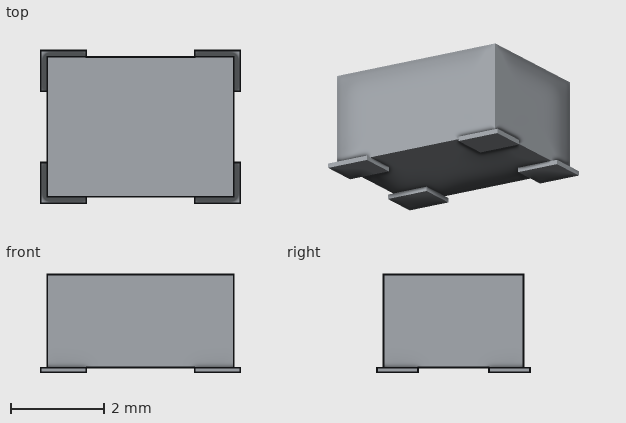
import cadquery as cq

housing_length = 4.0
housing_width = 3.0
housing_height = 2.0

pad_length = 0.98
pad_width = 0.88
pad_thickness = 0.1
pad_overhang = 0.14

pad_center_x = housing_length / 2 + pad_overhang - pad_length / 2
pad_center_y = housing_width / 2 + pad_overhang - pad_width / 2


def make_housing():
    """Plain block that rests on top of the pads."""
    return (
        cq.Workplane("XY")
        .workplane(offset=pad_thickness)
        .rect(housing_length, housing_width)
        .extrude(housing_height)
    )


def make_pad(side_x, side_y):
    """Flat pad at one corner; each side is -1 or 1."""
    return (
        cq.Workplane("XY")
        .center(side_x * pad_center_x, side_y * pad_center_y)
        .rect(pad_length, pad_width)
        .extrude(pad_thickness)
    )


housing = make_housing()
pads = [make_pad(side_x, side_y) for side_x in (-1, 1) for side_y in (-1, 1)]

result = cq.Compound.makeCompound([housing.val(), *[pad.val() for pad in pads]])